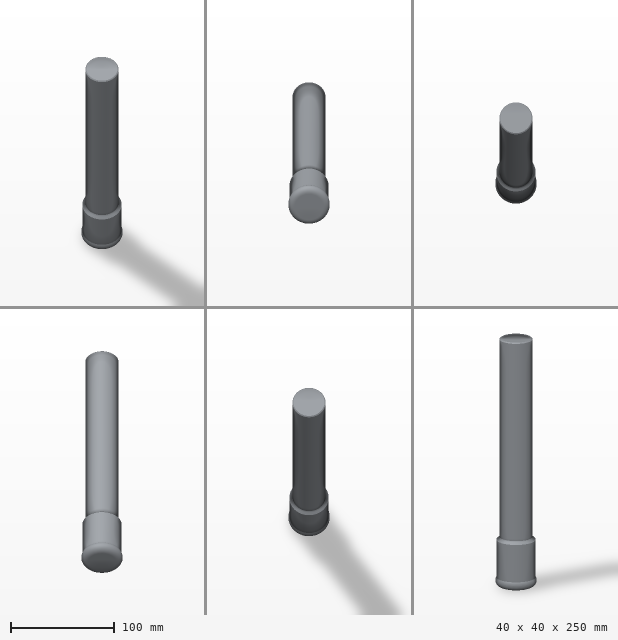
import cadquery as cq
import math

total_height = 250.0
shaft_radius = 16.0
shaft_tip_chamfer = 1.0

ferrule_height = 50.0
ferrule_radius = 19.0
bead_outer_radius = 20.0
bead_round = 6.0
ferrule_floor = bead_round

bead_center_radius = bead_outer_radius - bead_round
wall_offset = ferrule_radius - bead_center_radius
bead_top = bead_round + math.sqrt(bead_round**2 - wall_offset**2)

ferrule_mouth_chamfer = ferrule_radius - shaft_radius


def make_shaft():
    """Solid round bar with a chamfered upper end, seated on the ferrule floor."""
    length = total_height - ferrule_floor
    bar = cq.Workplane("XY").workplane(offset=ferrule_floor).circle(shaft_radius).extrude(length)
    return bar.faces(">Z").chamfer(shaft_tip_chamfer)


def make_ferrule():
    """Cup with a rounded bead at the foot and a conical mouth, bored to take the shaft."""
    diagonal = bead_round * math.sqrt(0.5)
    lower_arc_mid = (bead_center_radius + diagonal, bead_round - diagonal)
    upper_angle = math.acos(wall_offset / bead_round) / 2
    upper_arc_mid = (
        bead_center_radius + bead_round * math.cos(upper_angle),
        bead_round + bead_round * math.sin(upper_angle),
    )
    profile = (
        cq.Workplane("XZ")
        .lineTo(bead_center_radius, 0)
        .threePointArc(lower_arc_mid, (bead_outer_radius, bead_round))
        .threePointArc(upper_arc_mid, (ferrule_radius, bead_top))
        .lineTo(ferrule_radius, ferrule_height - ferrule_mouth_chamfer)
        .lineTo(shaft_radius, ferrule_height)
        .lineTo(shaft_radius, ferrule_floor)
        .lineTo(0, ferrule_floor)
        .close()
    )
    return profile.revolve(360, (0, 0, 0), (0, 1, 0))


shaft = make_shaft()
ferrule = make_ferrule()

result = cq.Compound.makeCompound([shaft.val(), ferrule.val()])